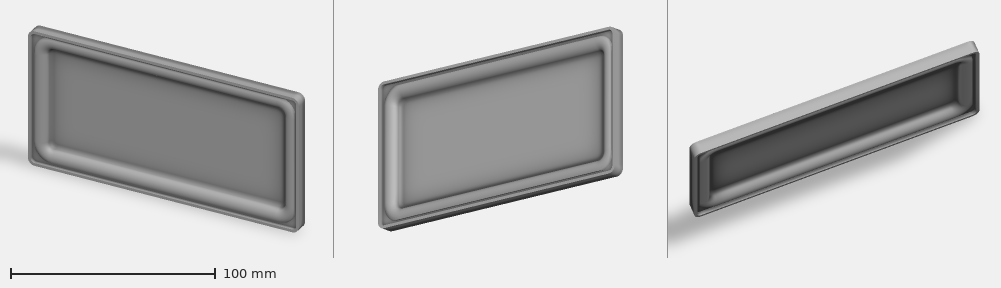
import cadquery as cq
import math

length = 150.0
height = 75.0
thickness = 6.5
corner_radius = 3.8

rim_width = 1.5
ledge_depth = 2.0
floor_depth = 6.0
front_y = -thickness / 2
floor_y = front_y + floor_depth

bead_radius = 4.2
bead_center_inset = 5.2
bead_center_height = 1.2
bead_root_fillet = 2.1
bend_center_inset = 12.9

bead_trim_inset = 3.2
bend_radius = bend_center_inset - bead_center_inset


def rounded_block(inset, radius, start_y, depth):
    """Block with rounded corners, set in from the outer sides, running toward +Y."""
    return (
        cq.Workplane("XZ", origin=(0, start_y, 0))
        .rect(length - 2 * inset, height - 2 * inset)
        .extrude(-depth)
        .edges("|Y")
        .fillet(radius)
    )


def bead():
    """Bead section with its root fillet, swept around the rounded rectangle."""
    center_distance = bead_radius + bead_root_fillet
    root_angle = math.asin((bead_root_fillet - bead_center_height) / center_distance)
    root_reach = center_distance * math.cos(root_angle)
    tangent_point = (
        bead_radius * math.cos(root_angle),
        bead_center_height + bead_radius * math.sin(root_angle),
    )
    fillet_angle = (root_angle + math.pi / 2) / 2
    fillet_middle = (
        root_reach - bead_root_fillet * math.cos(fillet_angle),
        bead_root_fillet * (1 - math.sin(fillet_angle)),
    )
    ledge_height = floor_depth - ledge_depth
    outer_offset = -math.sqrt(bead_radius**2 - (ledge_height - bead_center_height) ** 2)
    bead_top = (0, bead_center_height + bead_radius)
    base_level = (floor_depth - thickness) / 2

    path = (
        cq.Workplane("XZ", origin=(0, floor_y, 0))
        .rect(length - 2 * bead_center_inset, height - 2 * bead_center_inset)
        .wires()
        .val()
    )
    path = path.fillet2D(bend_radius, path.Vertices())
    section_plane = cq.Plane(
        origin=(-length / 2 + bead_center_inset, floor_y, 0), xDir=(1, 0, 0), normal=(0, 0, 1)
    )

    def at(point):
        return (point[0], -point[1])

    section = (
        cq.Workplane(section_plane)
        .moveTo(*at((outer_offset, base_level)))
        .lineTo(*at((outer_offset, ledge_height)))
        .threePointArc(at(bead_top), at(tangent_point))
        .threePointArc(at(fillet_middle), at((root_reach, 0)))
        .lineTo(*at((root_reach, base_level)))
        .close()
    )
    swept = section.sweep(cq.Workplane(path))
    trim_block = cq.Workplane("XY").box(
        length - 2 * bead_trim_inset, thickness, height - 2 * bead_trim_inset
    )
    return swept.intersect(trim_block)


plate = rounded_block(0, corner_radius, front_y, thickness)
ledge_pocket = rounded_block(rim_width, corner_radius - rim_width, front_y, ledge_depth)
floor_pocket = rounded_block(bead_center_inset, bend_radius, front_y, floor_depth)
result = plate.cut(ledge_pocket).cut(floor_pocket).union(bead())